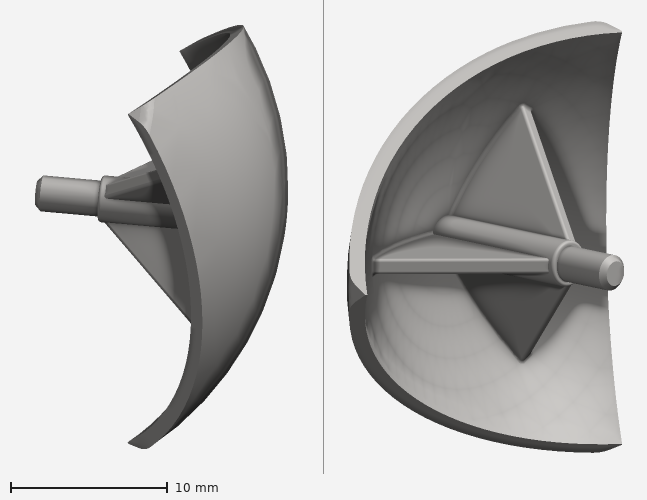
import cadquery as cq
import math

outer_radius = 20.0
shell_thickness = 1.0
inner_radius = outer_radius - shell_thickness
mid_radius = inner_radius + shell_thickness / 2

corner_lip = 0.12
corner_round = 1.0

pin_start = 4.0
shoulder_start = 8.1
pin_diameter = 2.3
stem_diameter = 3.0
pin_tip_chamfer = 0.35
shoulder_round = 0.2

rib_count = 3
rib_thickness = 1.0
rib_edge_start = 7.05
rib_round = 0.2

tolerance = 1e-3

axis = cq.Vector(math.sqrt(2), 1, 0).normalized()
stem_plane = cq.Plane(origin=(0, 0, 0), xDir=(0, 0, 1), normal=axis.toTuple())
facing_centre = cq.selectors.DirectionMinMaxSelector(axis, False)


def about_stem(shape, index):
    """Turn a shape about the stem axis from the +Y corner to the corner with this index."""
    return shape.rotate((0, 0, 0), axis.toTuple(), index * 360 / rib_count)


def ball(radius):
    """A ball about the origin with its poles on the stem axis."""
    return cq.Workplane(stem_plane).sphere(radius)


def octant_ball(radius):
    """One eighth of a ball, between the planes y = 0, z = x and z = -x."""
    block = cq.Workplane("XY").box(2 * radius, 2 * radius, 2 * radius, centered=False)
    block = block.rotate((0, 0, 0), (0, 1, 0), 45)
    return ball(radius).intersect(block)


def corner_cutter():
    """Block that cuts a flat on the +Y corner, at 45 degrees to its edge."""
    size = outer_radius / 2
    flat = cq.Plane(
        origin=(0, inner_radius + corner_lip, 0), xDir=(0, 0, 1), normal=(-1, 1, 0)
    )
    return cq.Workplane(flat).rect(size, size).extrude(size)


def build_shell():
    """Spherical triangle whose three corners are cut flat and blended into the outside."""
    shell = octant_ball(outer_radius)
    for index in range(rib_count):
        shell = shell.cut(about_stem(corner_cutter(), index))
    longest_corner_arc = outer_radius / 4
    corner_arcs = [
        edge for edge in shell.edges("%CIRCLE").vals() if edge.Length() < longest_corner_arc
    ]
    shell = shell.newObject(corner_arcs).fillet(corner_round)
    return shell.cut(ball(inner_radius))


def stem_cylinder(diameter, start, end):
    """Cylinder on the stem axis between two axial positions."""
    base = cq.Workplane(stem_plane).workplane(offset=start)
    return base.circle(diameter / 2).extrude(end - start)


def build_stem():
    """Stepped stem: a chamfered pin on a thicker stem with a rounded shoulder."""
    pin = stem_cylinder(pin_diameter, pin_start, shoulder_start)
    pin = pin.faces(facing_centre).chamfer(pin_tip_chamfer)
    stem = stem_cylinder(stem_diameter, shoulder_start, outer_radius)
    stem = stem.faces(facing_centre).fillet(shoulder_round)
    return pin.union(stem).intersect(ball(mid_radius))


def build_rib():
    """Flat rib towards the +Y corner, with a rounded free edge at 45 degrees to the stem."""
    rib_plane = cq.Plane(
        origin=(0, 0, -rib_thickness / 2), xDir=axis.toTuple(), normal=(0, 0, 1)
    )
    root_height = stem_diameter / 4
    tip_height = outer_radius
    rib = (
        cq.Workplane(rib_plane)
        .moveTo(rib_edge_start + root_height, root_height)
        .lineTo(rib_edge_start + tip_height, tip_height)
        .lineTo(rib_edge_start + tip_height, root_height)
        .close()
        .extrude(rib_thickness)
    )
    free_edge_direction = rib_plane.xDir + rib_plane.yDir
    rib = rib.edges(cq.selectors.ParallelDirSelector(free_edge_direction)).fillet(rib_round)
    return rib.intersect(ball(mid_radius))


def is_rib_root(edge):
    """True for an edge on the inner sphere that is neither a rim nor the foot of the stem."""
    middle = edge.positionAt(0.5)
    on_inner_sphere = abs(middle.Length - inner_radius) < tolerance
    clear_of_rims = min(middle.y, middle.x - abs(middle.z)) > shell_thickness
    outside_stem = middle.cross(axis).Length > stem_diameter / 2 + tolerance
    return on_inner_sphere and clear_of_rims and outside_stem


part = build_shell().union(build_stem())
for index in range(rib_count):
    part = part.union(about_stem(build_rib(), index))

rib_roots = [edge for edge in part.edges().vals() if is_rib_root(edge)]
result = part.newObject(rib_roots).fillet(rib_round)